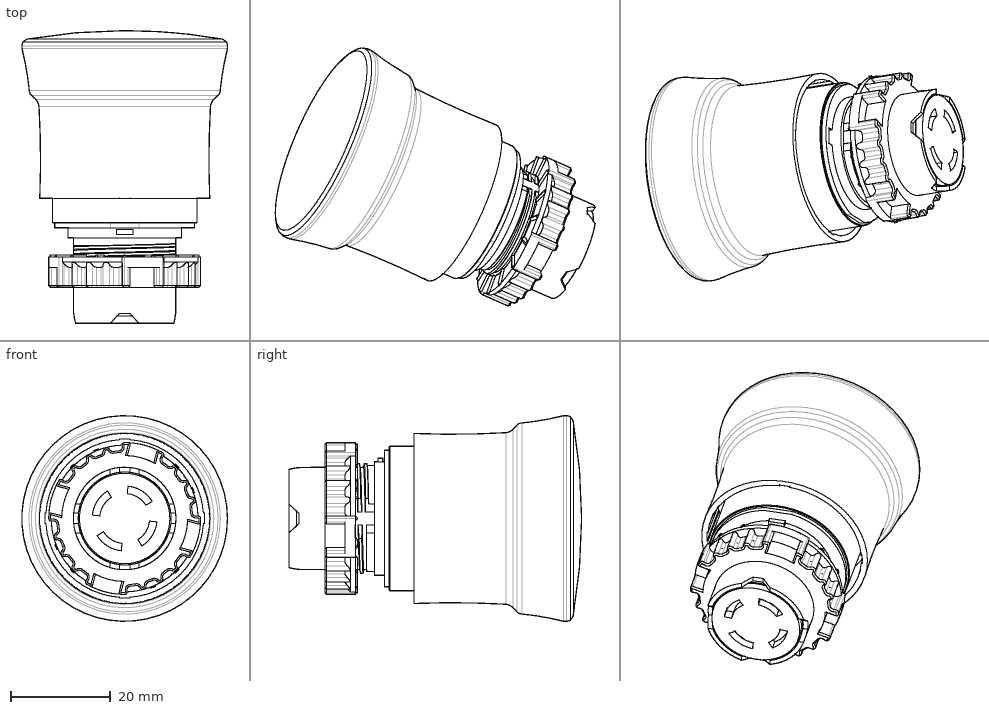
import cadquery as cq
import math


QUARTER_TURNS = [0, 90, 180, 270]

CAP_TOP_Y = 39.49
CAP_RADIUS = 20.6
DOME_EDGE_RADIUS = 19.5
DOME_EDGE_Y = 37.8
RIM_ROUND_RADIUS = 20.4
RIM_ROUND_Y = 37.2
RIM_ROUND_BULGE = 0.05
RIM_BACK_Y = 36.4
RIM_FRONT_Y = 35.85
FLARE_END_RADIUS = 19.15
FLARE_END_Y = 27.5
FLARE_HOLLOW = 0.15
SHOULDER_START_RADIUS = 18.7
SHOULDER_START_Y = 26.5
SHOULDER_END_RADIUS = 17.85
SHOULDER_END_Y = 25.7
SHOULDER_BULGE = 0.12
SKIRT_BACK_RADIUS = 17.2
SKIRT_BACK_Y = 24.3
SKIRT_WAIST_RADIUS = 16.9
SKIRT_RADIUS = 17.05
SKIRT_END_Y = 5.9
SKIRT_BORE_RADIUS = 15.8
SKIRT_BORE_DEPTH = 10.0
SKIRT_GROOVE_RADIUS = 15.95
KEY_WIDTH = 2.1

COLLAR_RADIUS = 14.5
COLLAR_FRONT_Y = 0.95
COLLAR_EDGE = 0.15

GASKET_RADIUS = 14.0
GASKET_FLAT = 13.7
GASKET_NOTCH_RADIUS = 12.6

FLANGE_RADIUS = 11.4
FLANGE_FRONT_Y = -2.0
TAB_WIDTH = 3.25
TAB_RADIUS = 12.1
TAB_BACK_Y = -0.3
TAB_FRONT_Y = -1.3
RELIEF_RADIUS = 10.66
RELIEF_FRONT_Y = -3.55
BARREL_RADIUS = 10.26
BARREL_BORE_RADIUS = 9.3
BARREL_END_Y = CAP_TOP_Y - 58.64
THREAD_RADIUS = 11.0
THREAD_PITCH = 1.5
THREAD_ROOT_WIDTH = 0.95
THREAD_CREST_WIDTH = 0.5
THREAD_START_Y = -3.4
THREAD_TURNS = 2.5
THREAD_SINK = 0.2
KEYWAY_WIDTH = 2.65
NOTCH_END_WIDTH = 5.8
NOTCH_DEPTH = 2.0

NUT_BACK_Y = -5.8
NUT_FRONT_Y = -11.94
NUT_RADIUS = 15.2
NUT_RIM_RADIUS = 14.7
NUT_RIM_FRONT_Y = -6.8
VALLEY_RADIUS = 13.6
RIB_RADIUS = 0.7
RIB_PEAK_RADIUS = 14.6
RIB_PITCH = 15.0
RIB_OFFSETS = [-RIB_PITCH, 0, RIB_PITCH]
RIB_GROUP_OFFSET = 45.0
LOBE_CENTRE = 75.0
LOBE_ANGLES = [LOBE_CENTRE + turn for turn in QUARTER_TURNS]
LOBE_HALF_ANGLE = 16.9
LOBE_CORNER_FILLET = 0.5
POCKET_WIDTH = 5.5
POCKET_FLOOR_RADIUS = 12.6
POCKET_CORNER_FILLET = 0.4
POCKET_BACK_Y = -7.9
NUT_CHAMFER = 0.35
ROOT_FILLET = 0.7
EDGE_TOLERANCE = 0.01
NUT_BORE_RADIUS = THREAD_RADIUS + 0.05
NUT_THREAD_Y = -8.5
TOOTH_COUNT = 16
TOOTH_HEIGHT = 0.4
TOOTH_WIDTH = 1.0
TOOTH_OUTER_RADIUS = 14.9

PLUNGER_STEP_LENGTH = 1.5
PLUNGER_END_RADIUS = 9.05
SLOT_COUNT = 4
SLOT_INNER_RADIUS = 5.0
SLOT_OUTER_RADIUS = 6.5
SLOT_START_ANGLE = 32.0
SLOT_END_ANGLE = 84.0
SLOT_DEPTH = 2.0


def polar(radius, angle):
    """Point in the XZ plane at an angle in degrees, measured from +X towards +Z."""
    turn = math.radians(angle)
    return (radius * math.cos(turn), radius * math.sin(turn))


def bulged_middle(start, end, bulge):
    """Midpoint of a chord, moved sideways to the right of its direction by bulge."""
    along_x = end[0] - start[0]
    along_y = end[1] - start[1]
    length = math.hypot(along_x, along_y)
    middle_x = (start[0] + end[0]) / 2 + bulge * along_y / length
    middle_y = (start[1] + end[1]) / 2 - bulge * along_x / length
    return (middle_x, middle_y)


def distance_to_axis(edge):
    """Distance from the Y axis to an edge parallel to it."""
    return math.hypot(edge.Center().x, edge.Center().z)


def upright_edges_at(shape, radius):
    """Edges parallel to the Y axis at a given distance from it."""
    edges = shape.edges("|Y").vals()
    return [edge for edge in edges if abs(distance_to_axis(edge) - radius) < EDGE_TOLERANCE]


def front_plane(y):
    """Plane facing -Y, with X to the right and Z up."""
    return cq.Workplane("XZ", origin=(0, y, 0))


def disc(radius, back_y, front_y):
    return front_plane(back_y).circle(radius).extrude(back_y - front_y)


def block(x_range, y_range, z_range):
    """Box between the given limits."""
    sizes = [limits[1] - limits[0] for limits in (x_range, y_range, z_range)]
    corner = (x_range[0], y_range[0], z_range[0])
    return cq.Workplane("XY").box(*sizes, centered=False).translate(corner)


def turned(shape, angle):
    """Shape turned about the Y axis, counterclockwise seen from the front."""
    return shape.rotate((0, 0, 0), (0, -1, 0), angle)


def sector(inner_radius, outer_radius, start_angle, end_angle, back_y, front_y):
    """Annular sector between two angles."""
    middle = (start_angle + end_angle) / 2
    return (
        front_plane(back_y)
        .moveTo(*polar(inner_radius, start_angle))
        .lineTo(*polar(outer_radius, start_angle))
        .threePointArc(polar(outer_radius, middle), polar(outer_radius, end_angle))
        .lineTo(*polar(inner_radius, end_angle))
        .threePointArc(polar(inner_radius, middle), polar(inner_radius, start_angle))
        .close()
        .extrude(back_y - front_y)
    )


def make_cap():
    dome_top = (0, CAP_TOP_Y)
    dome_edge = (DOME_EDGE_RADIUS, DOME_EDGE_Y)
    rim_round = (RIM_ROUND_RADIUS, RIM_ROUND_Y)
    rim_back = (CAP_RADIUS, RIM_BACK_Y)
    rim_front = (CAP_RADIUS, RIM_FRONT_Y)
    flare_end = (FLARE_END_RADIUS, FLARE_END_Y)
    shoulder_start = (SHOULDER_START_RADIUS, SHOULDER_START_Y)
    shoulder_end = (SHOULDER_END_RADIUS, SHOULDER_END_Y)
    skirt_back = (SKIRT_BACK_RADIUS, SKIRT_BACK_Y)
    skirt_middle = (SKIRT_WAIST_RADIUS, (SKIRT_BACK_Y + SKIRT_END_Y) / 2)
    dome_height = CAP_TOP_Y - DOME_EDGE_Y
    dome_radius = (DOME_EDGE_RADIUS**2 + dome_height**2) / (2 * dome_height)
    half_chord = math.hypot(DOME_EDGE_RADIUS, dome_height) / 2
    dome_bulge = dome_radius - math.sqrt(dome_radius**2 - half_chord**2)
    cap = (
        cq.Workplane("XY")
        .moveTo(*dome_top)
        .threePointArc(bulged_middle(dome_top, dome_edge, -dome_bulge), dome_edge)
        .threePointArc(bulged_middle(dome_edge, rim_round, -RIM_ROUND_BULGE), rim_round)
        .threePointArc(bulged_middle(rim_round, rim_back, -RIM_ROUND_BULGE), rim_back)
        .lineTo(*rim_front)
        .threePointArc(bulged_middle(rim_front, flare_end, FLARE_HOLLOW), flare_end)
        .threePointArc(bulged_middle(flare_end, shoulder_start, -SHOULDER_BULGE), shoulder_start)
        .lineTo(*shoulder_end)
        .threePointArc(bulged_middle(shoulder_end, skirt_back, SHOULDER_BULGE), skirt_back)
        .threePointArc(skirt_middle, (SKIRT_RADIUS, SKIRT_END_Y))
        .lineTo(0, SKIRT_END_Y)
        .close()
        .revolve(360, (0, 0), (0, 1))
    )
    bore_floor_y = SKIRT_END_Y + SKIRT_BORE_DEPTH
    cap = cap.cut(disc(SKIRT_BORE_RADIUS, bore_floor_y, SKIRT_END_Y))
    groove = block(
        (0, SKIRT_GROOVE_RADIUS),
        (SKIRT_END_Y, bore_floor_y),
        (-KEY_WIDTH / 2, KEY_WIDTH / 2),
    )
    for angle in QUARTER_TURNS:
        cap = cap.cut(turned(groove, angle))
    return cap


def make_collar():
    collar = disc(COLLAR_RADIUS, SKIRT_END_Y + SKIRT_BORE_DEPTH, COLLAR_FRONT_Y)
    return collar.faces("<Y").chamfer(COLLAR_EDGE)


def make_gasket():
    flats = block(
        (-GASKET_RADIUS, GASKET_RADIUS),
        (0, COLLAR_FRONT_Y),
        (-GASKET_FLAT, GASKET_FLAT),
    )
    notch = block(
        (-GASKET_NOTCH_RADIUS, 0),
        (0, COLLAR_FRONT_Y),
        (-TAB_WIDTH / 2, TAB_WIDTH / 2),
    )
    gasket = disc(GASKET_RADIUS, COLLAR_FRONT_Y, 0).intersect(flats)
    return gasket.cut(disc(FLANGE_RADIUS, COLLAR_FRONT_Y, 0)).cut(notch)


def make_thread():
    """Right-handed trapezoidal ridge wound towards -Y."""
    root_radius = BARREL_RADIUS - THREAD_SINK
    height = THREAD_PITCH * THREAD_TURNS
    path = cq.Wire.makeHelix(THREAD_PITCH, height, root_radius)
    ridge = (
        cq.Workplane("XZ")
        .moveTo(root_radius, -THREAD_ROOT_WIDTH / 2)
        .lineTo(THREAD_RADIUS, -THREAD_CREST_WIDTH / 2)
        .lineTo(THREAD_RADIUS, THREAD_CREST_WIDTH / 2)
        .lineTo(root_radius, THREAD_ROOT_WIDTH / 2)
        .close()
        .sweep(cq.Workplane(obj=path), isFrenet=True)
    )
    towards_front = ridge.rotate((0, 0, 0), (1, 0, 0), 90)
    return towards_front.translate((0, THREAD_START_Y, 0))


def make_end_notch():
    """Trapezoidal cut at +X through the wall at the front end of the barrel."""
    return (
        cq.Workplane("XY")
        .polyline(
            [
                (-NOTCH_END_WIDTH / 2, BARREL_END_Y),
                (NOTCH_END_WIDTH / 2, BARREL_END_Y),
                (KEY_WIDTH / 2, BARREL_END_Y + NOTCH_DEPTH),
                (-KEY_WIDTH / 2, BARREL_END_Y + NOTCH_DEPTH),
            ]
        )
        .close()
        .extrude(THREAD_RADIUS)
        .rotate((0, 0, 0), (0, 1, 0), 90)
    )


def make_barrel():
    barrel = (
        cq.Workplane("XY")
        .polyline(
            [
                (0, COLLAR_FRONT_Y),
                (FLANGE_RADIUS, COLLAR_FRONT_Y),
                (FLANGE_RADIUS, FLANGE_FRONT_Y),
                (RELIEF_RADIUS, FLANGE_FRONT_Y),
                (RELIEF_RADIUS, RELIEF_FRONT_Y),
                (BARREL_RADIUS, RELIEF_FRONT_Y),
                (BARREL_RADIUS, BARREL_END_Y),
                (0, BARREL_END_Y),
            ]
        )
        .close()
        .revolve(360, (0, 0), (0, 1))
    )
    barrel = barrel.union(make_thread())
    side_flat = block(
        (BARREL_RADIUS, FLANGE_RADIUS),
        (NUT_FRONT_Y, FLANGE_FRONT_Y),
        (-FLANGE_RADIUS, FLANGE_RADIUS),
    )
    keyway = block(
        (0, FLANGE_RADIUS),
        (NUT_FRONT_Y, FLANGE_FRONT_Y),
        (-KEYWAY_WIDTH / 2, KEYWAY_WIDTH / 2),
    ).cut(disc(BARREL_RADIUS, FLANGE_FRONT_Y, NUT_FRONT_Y))
    for angle in (0, 180):
        barrel = barrel.cut(turned(side_flat, angle)).cut(turned(keyway, angle))
    tab = block(
        (-TAB_WIDTH / 2, TAB_WIDTH / 2),
        (TAB_FRONT_Y, TAB_BACK_Y),
        (BARREL_RADIUS, TAB_RADIUS),
    )
    barrel = barrel.union(tab)
    barrel = barrel.cut(disc(BARREL_BORE_RADIUS, COLLAR_FRONT_Y, BARREL_END_Y))
    notch = make_end_notch()
    for angle in QUARTER_TURNS:
        barrel = barrel.cut(turned(notch, angle))
    return barrel


def make_nut_rim():
    """Flange behind the ribs, narrowing by a cone to the floor of the valleys between them."""
    return (
        cq.Workplane("XY")
        .polyline(
            [
                (0, NUT_BACK_Y),
                (NUT_RIM_RADIUS, NUT_BACK_Y),
                (NUT_RIM_RADIUS, NUT_RIM_FRONT_Y),
                (VALLEY_RADIUS, POCKET_BACK_Y),
                (0, POCKET_BACK_Y),
            ]
        )
        .close()
        .revolve(360, (0, 0), (0, 1))
    )


def rod(radius, centre_radius, angle, back_y):
    """Round rod parallel to the axis, ending at the front of the nut."""
    centre = polar(centre_radius, angle)
    return front_plane(back_y).center(*centre).circle(radius).extrude(back_y - NUT_FRONT_Y)


def make_grip():
    """Ribbed outside of the nut with rounded rib roots and a chamfered front edge."""
    grip = disc(VALLEY_RADIUS, NUT_RIM_FRONT_Y, NUT_FRONT_Y)
    for lobe_angle in LOBE_ANGLES:
        for offset in RIB_OFFSETS:
            angle = lobe_angle + RIB_GROUP_OFFSET + offset
            grip = grip.union(rod(RIB_RADIUS, RIB_PEAK_RADIUS - RIB_RADIUS, angle, NUT_RIM_FRONT_Y))
        grip = grip.union(make_lobe(lobe_angle, NUT_RIM_FRONT_Y, NUT_FRONT_Y))
    roots = upright_edges_at(grip, VALLEY_RADIUS)
    grip = grip.newObject(roots).fillet(ROOT_FILLET)
    for angle in LOBE_ANGLES:
        grip = grip.cut(turned(make_pocket(), angle))
    corners = upright_edges_at(grip, NUT_RADIUS)
    grip = grip.newObject(corners).fillet(POCKET_CORNER_FILLET)
    grip = grip.faces("<Y").edges().chamfer(NUT_CHAMFER)
    return grip.union(disc(POCKET_FLOOR_RADIUS, NUT_RIM_FRONT_Y, NUT_FRONT_Y))


def make_pocket():
    """Parallel-sided cut at +X, deeper than the pocket floor, which is filled in later."""
    return block(
        (NUT_BORE_RADIUS, CAP_RADIUS),
        (NUT_FRONT_Y, NUT_BACK_Y),
        (-POCKET_WIDTH / 2, POCKET_WIDTH / 2),
    )


def make_lobe(lobe_angle, back_y, front_y):
    """Raised sector of the nut with rounded outer corners."""
    first = lobe_angle - LOBE_HALF_ANGLE
    last = lobe_angle + LOBE_HALF_ANGLE
    lobe = sector(THREAD_RADIUS, NUT_RADIUS, first, last, back_y, front_y)
    corners = [
        edge
        for edge in lobe.edges("|Y").vals()
        if distance_to_axis(edge) > VALLEY_RADIUS
    ]
    return lobe.newObject(corners).fillet(LOBE_CORNER_FILLET)


def make_tooth():
    """Radial ridge on the back face of the nut, at +X."""
    return (
        cq.Workplane("YZ", origin=(NUT_BORE_RADIUS, 0, 0))
        .polyline(
            [
                (NUT_BACK_Y, -TOOTH_WIDTH / 2),
                (NUT_BACK_Y + TOOTH_HEIGHT, 0),
                (NUT_BACK_Y, TOOTH_WIDTH / 2),
            ]
        )
        .close()
        .extrude(TOOTH_OUTER_RADIUS - NUT_BORE_RADIUS)
    )


def make_nut():
    nut = make_nut_rim()
    for angle in LOBE_ANGLES:
        nut = nut.union(make_lobe(angle, NUT_BACK_Y, POCKET_BACK_Y))
    nut = nut.union(make_grip())
    tooth = make_tooth()
    for copy in range(TOOTH_COUNT):
        nut = nut.union(turned(tooth, copy * 360 / TOOTH_COUNT))
    nut = nut.cut(disc(BARREL_RADIUS, NUT_BACK_Y, NUT_FRONT_Y))
    return nut.cut(disc(NUT_BORE_RADIUS, NUT_BACK_Y, NUT_THREAD_Y))


def make_plunger():
    plunger = (
        cq.Workplane("XY")
        .polyline(
            [
                (0, COLLAR_FRONT_Y),
                (BARREL_BORE_RADIUS, COLLAR_FRONT_Y),
                (BARREL_BORE_RADIUS, BARREL_END_Y + PLUNGER_STEP_LENGTH),
                (PLUNGER_END_RADIUS, BARREL_END_Y + PLUNGER_STEP_LENGTH),
                (PLUNGER_END_RADIUS, BARREL_END_Y),
                (0, BARREL_END_Y),
            ]
        )
        .close()
        .revolve(360, (0, 0), (0, 1))
    )
    slot = sector(
        SLOT_INNER_RADIUS,
        SLOT_OUTER_RADIUS,
        SLOT_START_ANGLE,
        SLOT_END_ANGLE,
        BARREL_END_Y + SLOT_DEPTH,
        BARREL_END_Y,
    )
    for copy in range(SLOT_COUNT):
        plunger = plunger.cut(turned(slot, copy * 360 / SLOT_COUNT))
    return plunger


cap = make_cap()
collar = make_collar()
gasket = make_gasket()
barrel = make_barrel()
nut = make_nut()
plunger = make_plunger()

result = cq.Compound.makeCompound(
    [cap.val(), collar.val(), gasket.val(), barrel.val(), nut.val(), plunger.val()]
)